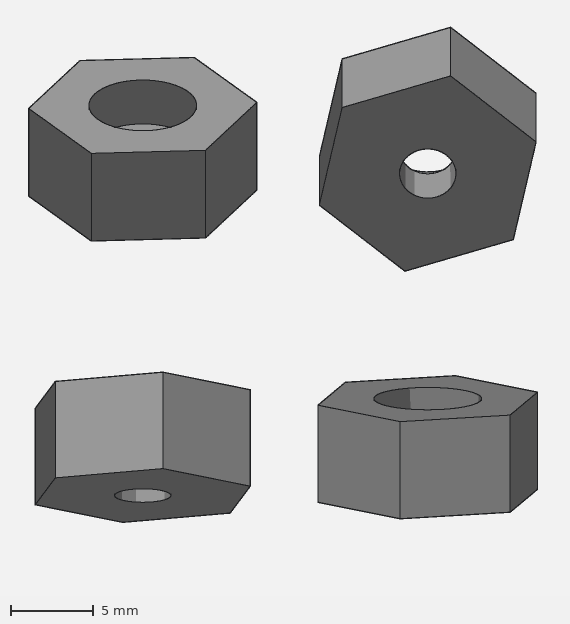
import cadquery as cq

across_corners = 13.8
height = 6.0

hole_diameter = 3.4
counterbore_diameter = 6.5
counterbore_depth = 3.0


def make_hex_body():
    """Hexagonal prism standing on Z = 0, with its corners pointing along +Y and -Y."""
    corners_along_y = cq.Workplane("XY").transformed(rotate=(0, 0, 90))
    return corners_along_y.polygon(6, across_corners).extrude(height)


def cut_stepped_bore(body):
    """Through hole on the body axis, counterbored from the top face."""
    return body.faces(">Z").workplane().cboreHole(
        hole_diameter, counterbore_diameter, counterbore_depth
    )


result = cut_stepped_bore(make_hex_body())